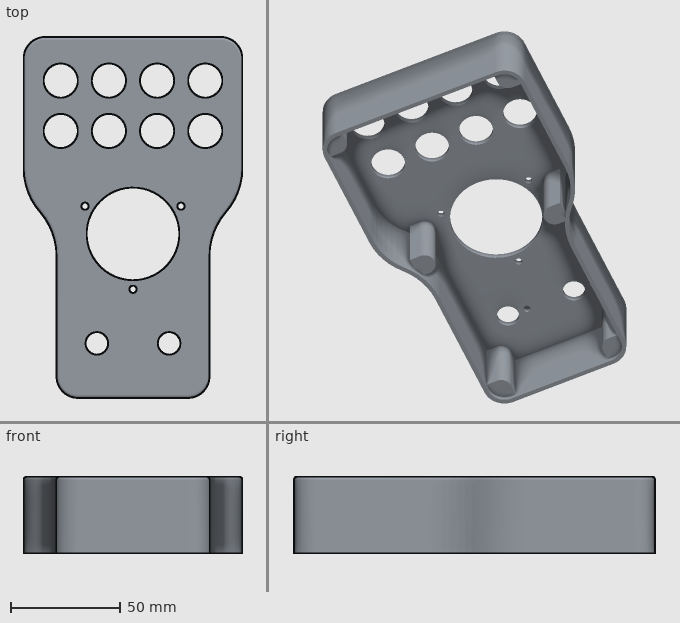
import cadquery as cq
import math

length = 165.0
height = 35.0
head_half_width = 50.0
grip_half_width = 35.0
corner_radius = 10.0
top_edge_radius = 1.5
wall = 2.0
plate_thickness = 3.0

shoulder_start_y = 65.0
shoulder_end_y = 105.0
shoulder_run = head_half_width - grip_half_width
shoulder_rise = shoulder_end_y - shoulder_start_y
shoulder_radius = (shoulder_run**2 + shoulder_rise**2) / (4 * shoulder_run)

button_diameter = 15.5
button_columns = 4
button_pitch_x = 22.0
button_rows_y = (122.0, 145.0)

opening_diameter = 42.2
opening_y = 75.0
screw_diameter = 3.2
screw_circle_radius = 25.3
screw_angles = (30.0, 150.0, 270.0)

shaft_diameter = 10.2
shaft_x = 16.5
shaft_y = 25.0
locator_diameter = 3.3
locator_offset_x = -9.5
locator_skin = 0.5

boss_radius = 5.0
boss_bottom_z = 2.5
boss_height = height - plate_thickness / 2 - boss_bottom_z
boss_inset = wall + boss_radius
waist_boss_x = 32.5
waist_boss_y = length / 2


def case_outline(offset):
    """Closed outline of the case, moved inward by the given offset."""
    head_x = head_half_width - offset
    grip_x = grip_half_width - offset
    bottom_y = offset
    top_y = length - offset
    radius = corner_radius - offset
    bow = radius * (1 - math.sqrt(0.5))

    lower_radius = shoulder_radius + offset
    upper_radius = shoulder_radius - offset
    lower_center_x = grip_half_width + shoulder_radius
    upper_center_x = head_half_width - shoulder_radius
    sweep = math.asin(shoulder_rise / 2 / shoulder_radius)

    def lower_point(angle):
        x = lower_center_x - lower_radius * math.cos(angle)
        return (x, shoulder_start_y + lower_radius * math.sin(angle))

    def upper_point(angle):
        x = upper_center_x + upper_radius * math.cos(angle)
        return (x, shoulder_end_y - upper_radius * math.sin(angle))

    right_half = (
        cq.Workplane("XY")
        .moveTo(0, bottom_y)
        .lineTo(grip_x - radius, bottom_y)
        .threePointArc((grip_x - bow, bottom_y + bow), (grip_x, bottom_y + radius))
        .lineTo(grip_x, shoulder_start_y)
        .threePointArc(lower_point(sweep / 2), lower_point(sweep))
        .threePointArc(upper_point(sweep / 2), (head_x, shoulder_end_y))
        .lineTo(head_x, top_y - radius)
        .threePointArc((head_x - bow, top_y - bow), (head_x - radius, top_y))
        .lineTo(0, top_y)
    )
    return right_half.mirrorY()


def holes(points, diameter, bottom_z, top_z):
    """Vertical cylinders used as hole cutters."""
    return (
        cq.Workplane("XY", origin=(0, 0, bottom_z))
        .pushPoints(points)
        .circle(diameter / 2)
        .extrude(top_z - bottom_z)
    )


def make_shell():
    body = case_outline(0).extrude(height).faces(">Z").edges().fillet(top_edge_radius)
    return body.cut(case_outline(wall).extrude(height - plate_thickness))


def make_boss(x, y, end_direction):
    """Round column with a web to the side wall and, when end_direction is not zero, one to the end wall."""
    web_width = 2 * boss_radius
    side_direction = math.copysign(1, x)
    base = cq.Workplane("XY", origin=(x, y, boss_bottom_z))
    column = base.circle(boss_radius).extrude(boss_height)
    side_web = base.center(side_direction * boss_radius / 2, 0).rect(boss_radius, web_width)
    column = column.union(side_web.extrude(boss_height))
    if end_direction:
        end_web = base.center(0, end_direction * boss_radius / 2).rect(web_width, boss_radius)
        column = column.union(end_web.extrude(boss_height))
    return column


def add_bosses(case):
    trim = case_outline(wall / 2).extrude(height)
    for side in (-1, 1):
        head_boss = make_boss(side * (head_half_width - boss_inset), length - boss_inset, 1)
        grip_boss = make_boss(side * (grip_half_width - boss_inset), boss_inset, -1)
        waist_boss = make_boss(side * waist_boss_x, waist_boss_y, 0)
        for boss in (head_boss, grip_boss, waist_boss):
            case = case.union(boss.intersect(trim))
    return case


def cut_holes(case):
    button_points = [
        ((column - (button_columns - 1) / 2) * button_pitch_x, y)
        for column in range(button_columns)
        for y in button_rows_y
    ]
    screw_points = [
        (
            screw_circle_radius * math.cos(math.radians(angle)),
            opening_y + screw_circle_radius * math.sin(math.radians(angle)),
        )
        for angle in screw_angles
    ]
    shaft_points = [(side * shaft_x, shaft_y) for side in (-1, 1)]
    locator_points = [(x + locator_offset_x, y) for x, y in shaft_points]

    plate_bottom_z = height - plate_thickness
    case = case.cut(holes(button_points, button_diameter, plate_bottom_z, height))
    case = case.cut(holes([(0, opening_y)], opening_diameter, plate_bottom_z, height))
    case = case.cut(holes(screw_points, screw_diameter, plate_bottom_z, height))
    case = case.cut(holes(shaft_points, shaft_diameter, plate_bottom_z, height))
    return case.cut(holes(locator_points, locator_diameter, plate_bottom_z, height - locator_skin))


result = cut_holes(add_bosses(make_shell()))